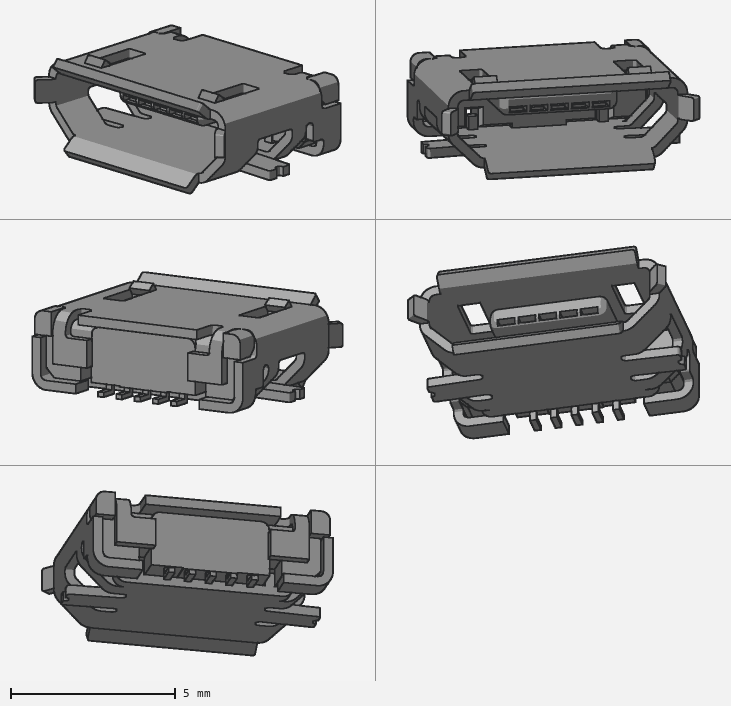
import cadquery as cq
import math


SHEET = 0.30
BEND_IN = 0.20
BEND_OUT = BEND_IN + SHEET
HALF_W = 3.75
HEIGHT = 2.45
DEPTH = 5.015
INNER_HALF_W = HALF_W - SHEET
INNER_TOP = HEIGHT - SHEET
BEVEL_ANGLE = math.radians(45)
BEVEL = 0.923
FRONT_SECTION_END = 3.51

LIP_ANGLE = math.radians(40)
LIP_LENGTH = 0.45
LIP_CORNER = 0.08
TOP_LIP_W = 6.20
BOTTOM_LIP_W = 2 * (HALF_W - BEVEL) - 2 * BEND_OUT * math.tan(BEVEL_ANGLE / 2)
SIDE_LIP_W = 0.74
SIDE_LIP_Z = 1.55

WINDOW_Y0 = 1.41
WINDOW_Y1 = 2.91
WINDOW_TOP = 1.30
WINDOW_CORNER = 0.10
WINDOW_INNER_X = 2.33
RELIEF_W = 0.30
RELIEF_INNER_X = 2.17
FOOT_END_X = 3.955
FOOT_DROP = 0.03
FOOT_CORNER = 0.08
FOOT_NOTCH_R = 0.14

LATCH_X0 = 2.06
LATCH_X1 = 2.767
LATCH_HINGE_Y = 0.549
LATCH_OPENING_Y0 = 0.80
LATCH_OPENING_Y1 = 2.50
LATCH_CORNER = 0.08
LATCH_ANGLE = math.radians(54)
LATCH_LENGTH = 0.28

WALL_SLOT_W = 0.30
WALL_SLOT_Y1 = FRONT_SECTION_END + WALL_SLOT_W
CUT_CLEAR_Z = 0.33
FLOOR_END_Y = 3.91
FLOOR_REAR_HALF_W = 2.78
FLAP_Y0 = 4.27
FLAP_INNER_X = 2.20
WALL_NOTCH_TOP = 0.65
WALL_NOTCH_CORNER = 0.10
WALL_NOTCH_STEP_ROUND = 0.08
ROOF_SLOT_X0 = 2.115
ROOF_SLOT_X1 = 2.563
ROOF_SLOT_Y0 = 4.11
ROOF_SLOT_CORNER = 0.18
EAR_CUT_X0 = 3.01
EAR_CUT_Y0 = 4.19
EAR_CUT_Z0 = 1.61
EAR_CUT_CORNER = 0.15

TAB_BEND_OUT = 0.615
TAB_BOTTOM = 0.84
ARM_TOP = 1.70
ARM_INNER_X = 1.80
ARM_CORNER = 0.12

FINGER_X0 = 1.90
FINGER_X1 = 2.19
FINGER_TOP = 0.72

BODY_Y0 = FRONT_SECTION_END
BODY_Y1 = 4.67
BODY_BOTTOM = CUT_CLEAR_Z
BODY_BEVEL = 0.28
BODY_TOP_ROUND = 0.54
LEAD_IN_SIDE = 0.12
LEAD_IN_DEPTH = 0.26
PAD_HALF_W = 0.85
PAD_TOP = 0.60
KEY_X0 = 2.62
KEY_X1 = 2.95
KEY_TOP = 2.12
KEY_H = 0.20
FINGER_HOLE_X = 2.04
FINGER_HOLE_W = 0.38
FINGER_HOLE_TOP = 0.92
FUNNEL = 0.10
EAR_X0 = 3.06
EAR_X1 = 3.66
EAR_Z0 = 1.69
EAR_ROUND = 0.28
EAR_CHAMFER = 0.24
EAR_FRONT_CHAMFER = 0.10

TONGUE_HALF_W = 1.84
TONGUE_Z0 = 1.30
TONGUE_Z1 = 2.07
TONGUE_Y0 = 1.0
TONGUE_ROUND = 0.26
TONGUE_TIP_ROUND = 0.24
CONTACTS = 5
PITCH = 0.65
GROOVE_W = 0.54
GROOVE_Z0 = 1.41
GROOVE_Z1 = 1.60
GROOVE_DEPTH = 0.60
CONTACT_W = 0.40
CONTACT_T = 0.09
CONTACT_SETBACK = 0.20
TAIL_W = 0.20
TAIL_T = 0.15
TAIL_Y0 = 4.40
TAIL_Y1 = 5.022

PAST = 1.0
SELECT_MARGIN = 0.01
ROUND_END = 0.49


def box(x0, x1, y0, y1, z0, z1):
    return cq.Workplane("XY").box(x1 - x0, y1 - y0, z1 - z0, centered=False).translate((x0, y0, z0))


def prism_along_y(points, y0, y1):
    return cq.Workplane("XZ", origin=(0, y0, 0)).polyline(points).close().extrude(y0 - y1)


def prism_along_x(points, x0, x1):
    return cq.Workplane("YZ", origin=(x0, 0, 0)).polyline(points).close().extrude(x1 - x0)


def both_sides(solid):
    return solid.union(solid.mirror("YZ"))


def beveled_outline(half_w, bottom, top, bevel):
    return [
        (-half_w, top),
        (half_w, top),
        (half_w, bottom + bevel),
        (half_w - bevel, bottom),
        (bevel - half_w, bottom),
        (-half_w, bottom + bevel),
    ]


def inset_bevel(bevel, inset):
    return bevel - inset * (2 - math.sqrt(2))


def shell_tube():
    outer = beveled_outline(HALF_W, 0, HEIGHT, BEVEL)
    inner = beveled_outline(INNER_HALF_W, SHEET, INNER_TOP, inset_bevel(BEVEL, SHEET))
    front = prism_along_y(outer, 0, FRONT_SECTION_END)
    front_hole = prism_along_y(inner, 0, FRONT_SECTION_END)
    rear = box(-HALF_W, HALF_W, FRONT_SECTION_END, DEPTH, 0, HEIGHT)
    rear_hole = box(-INNER_HALF_W, INNER_HALF_W, FRONT_SECTION_END, DEPTH, SHEET, INNER_TOP)
    front = front.edges("|Y").fillet(BEND_OUT).cut(front_hole.edges("|Y").fillet(BEND_IN))
    rear = rear.edges("|Y").fillet(BEND_OUT).cut(rear_hole.edges("|Y").fillet(BEND_IN))
    return front.union(rear)


def lip(pivot, outward, width):
    u_dir = cq.Vector(*outward)
    v_dir = cq.Vector(0, -1, 0)
    sin_a = math.sin(LIP_ANGLE)
    cos_a = math.cos(LIP_ANGLE)
    half_a = LIP_ANGLE / 2
    bend_end = (-SHEET * cos_a, SHEET * sin_a)
    tip = (LIP_LENGTH * sin_a, LIP_LENGTH * cos_a)
    profile = (
        cq.Workplane(cq.Plane(pivot, u_dir, u_dir.cross(v_dir)))
        .lineTo(-SHEET, 0)
        .threePointArc((-SHEET * math.cos(half_a), SHEET * math.sin(half_a)), bend_end)
        .lineTo(bend_end[0] + tip[0], bend_end[1] + tip[1])
        .lineTo(*tip)
        .close()
    )
    through_sheet = u_dir * -cos_a + v_dir * sin_a
    tip_corners = cq.selectors.ParallelDirSelector(through_sheet)
    return profile.extrude(width / 2, both=True).edges(tip_corners).fillet(LIP_CORNER)


def mouth_lips():
    top = lip((0, 0, HEIGHT), (0, 0, 1), TOP_LIP_W)
    bottom = lip((0, 0, 0), (0, 0, -1), BOTTOM_LIP_W)
    side = lip((HALF_W, 0, SIDE_LIP_Z), (1, 0, 0), SIDE_LIP_W)
    return both_sides(side).union(top).union(bottom)


def window_cutter():
    window = box(WINDOW_INNER_X, HALF_W + PAST, WINDOW_Y0, WINDOW_Y1, -PAST, WINDOW_TOP)
    cutter = window.edges("|X and >Z").fillet(WINDOW_CORNER)
    for y0 in (WINDOW_Y0, WINDOW_Y1 - RELIEF_W):
        relief = box(RELIEF_INNER_X, HALF_W, y0, y0 + RELIEF_W, -PAST, SHEET)
        cutter = cutter.union(relief.edges("|Z and <X").fillet(ROUND_END * RELIEF_W))
    return both_sides(cutter)


def solder_foot():
    points = [
        (RELIEF_INNER_X, 0),
        (WINDOW_INNER_X, 0),
        (FOOT_END_X, -FOOT_DROP),
        (FOOT_END_X, SHEET - FOOT_DROP),
        (WINDOW_INNER_X, SHEET),
        (RELIEF_INNER_X, SHEET),
    ]
    foot = prism_along_y(points, WINDOW_Y0 + RELIEF_W, WINDOW_Y1 - RELIEF_W)
    foot = foot.edges("|Z and >X").fillet(FOOT_CORNER)
    middle_y = (WINDOW_Y0 + WINDOW_Y1) / 2
    notch = cq.Workplane("XY").center(FOOT_END_X, middle_y).circle(FOOT_NOTCH_R).extrude(PAST, both=True)
    return both_sides(foot.cut(notch))


def latch_cutter():
    opening = box(LATCH_X0, LATCH_X1, LATCH_OPENING_Y0, LATCH_OPENING_Y1, INNER_TOP, HEIGHT)
    return both_sides(opening.edges("|Z and >Y").fillet(LATCH_CORNER))


def latch_stub():
    rise = (LATCH_LENGTH * math.cos(LATCH_ANGLE), LATCH_LENGTH * math.sin(LATCH_ANGLE))
    back = (SHEET * math.sin(LATCH_ANGLE), -SHEET * math.cos(LATCH_ANGLE))
    points = [
        (LATCH_HINGE_Y, HEIGHT),
        (LATCH_HINGE_Y + rise[0], HEIGHT + rise[1]),
        (LATCH_HINGE_Y + rise[0] + back[0], HEIGHT + rise[1] + back[1]),
        (LATCH_HINGE_Y + back[0], HEIGHT + back[1]),
    ]
    return both_sides(prism_along_x(points, LATCH_X0, LATCH_X1))


def rear_cutter():
    outer_x = HALF_W + PAST
    end_y = DEPTH + PAST
    inner_x = INNER_HALF_W - BEND_OUT
    slot = box(inner_x, outer_x, FRONT_SECTION_END, WALL_SLOT_Y1, CUT_CLEAR_Z, WINDOW_TOP)
    slot = slot.edges("|X and >Z").fillet(ROUND_END * WALL_SLOT_W)
    notch = box(inner_x, outer_x, FRONT_SECTION_END, FLAP_Y0, CUT_CLEAR_Z, WALL_NOTCH_TOP)
    notch = notch.edges("|X and >Z and >Y").fillet(WALL_NOTCH_CORNER)
    step_edge = cq.selectors.BoxSelector(
        (inner_x, WALL_SLOT_Y1 - SELECT_MARGIN, WALL_NOTCH_TOP - SELECT_MARGIN),
        (outer_x, WALL_SLOT_Y1 + SELECT_MARGIN, WALL_NOTCH_TOP + SELECT_MARGIN),
    )
    wall_cut = slot.union(notch).edges(step_edge).fillet(WALL_NOTCH_STEP_ROUND)
    round_x = FLOOR_REAR_HALF_W - CUT_CLEAR_Z
    floor_trim = box(round_x, outer_x, FRONT_SECTION_END, FLOOR_END_Y, -PAST, CUT_CLEAR_Z)
    floor_edge = (
        cq.Workplane("XZ", origin=(round_x, FRONT_SECTION_END, CUT_CLEAR_Z))
        .circle(CUT_CLEAR_Z)
        .extrude(FRONT_SECTION_END - FLOOR_END_Y)
    )
    floor_trim = floor_trim.cut(floor_edge)
    floor_gap = box(0, outer_x, FLOOR_END_Y, FLAP_Y0, -PAST, CUT_CLEAR_Z)
    flap_gap = box(0, FLAP_INNER_X, FLOOR_END_Y, end_y, -PAST, CUT_CLEAR_Z)
    roof_slot = box(ROOF_SLOT_X0, ROOF_SLOT_X1, ROOF_SLOT_Y0, end_y, INNER_TOP, HEIGHT + PAST)
    roof_slot = roof_slot.edges("|Z and <Y").fillet(ROOF_SLOT_CORNER)
    ear_cut = box(EAR_CUT_X0, outer_x, EAR_CUT_Y0, end_y, EAR_CUT_Z0, HEIGHT + PAST)
    ear_cut = ear_cut.edges("(|X and <Y and <Z) or (|Z and <X and <Y)").fillet(EAR_CUT_CORNER)
    tab_room = box(ROOF_SLOT_X1, EAR_CUT_X0, DEPTH - TAB_BEND_OUT, end_y, INNER_TOP, HEIGHT + PAST)
    cutter = wall_cut.union(floor_trim).union(floor_gap).union(flap_gap)
    return both_sides(cutter.union(roof_slot).union(ear_cut).union(tab_room))


def rear_tab():
    start_y = DEPTH - TAB_BEND_OUT
    inner_y = DEPTH - SHEET
    bend_z = HEIGHT - TAB_BEND_OUT
    half = math.sqrt(0.5)
    outer_mid = TAB_BEND_OUT * half
    inner_mid = (TAB_BEND_OUT - SHEET) * half
    tab = (
        cq.Workplane("YZ", origin=(ROOF_SLOT_X1, 0, 0))
        .moveTo(start_y, HEIGHT)
        .threePointArc((start_y + outer_mid, bend_z + outer_mid), (DEPTH, bend_z))
        .lineTo(DEPTH, TAB_BOTTOM)
        .lineTo(inner_y, TAB_BOTTOM)
        .lineTo(inner_y, bend_z)
        .threePointArc((start_y + inner_mid, bend_z + inner_mid), (start_y, INNER_TOP))
        .close()
        .extrude(EAR_CUT_X0 - ROOF_SLOT_X1)
    )
    arm = box(ARM_INNER_X, ROOF_SLOT_X1, inner_y, DEPTH, TAB_BOTTOM, ARM_TOP)
    web = box(ROOF_SLOT_X1 - ARM_CORNER, ROOF_SLOT_X1, inner_y, DEPTH, ARM_TOP, ARM_TOP + ARM_CORNER)
    web_round = (
        cq.Workplane("XZ", origin=(ROOF_SLOT_X1 - ARM_CORNER, inner_y, ARM_TOP + ARM_CORNER))
        .circle(ARM_CORNER)
        .extrude(-SHEET)
    )
    return both_sides(tab.union(arm).union(web.cut(web_round)))


def floor_finger():
    return both_sides(box(FINGER_X0, FINGER_X1, FLOOR_END_Y - SHEET, FLOOR_END_Y, SHEET, FINGER_TOP))


def shell():
    metal = shell_tube().cut(window_cutter()).cut(latch_cutter()).cut(rear_cutter())
    for piece in (mouth_lips(), solder_foot(), latch_stub(), rear_tab(), floor_finger()):
        metal = metal.union(piece)
    return metal


def body():
    full = beveled_outline(INNER_HALF_W, BODY_BOTTOM, INNER_TOP, BODY_BEVEL)
    reduced = beveled_outline(
        INNER_HALF_W - LEAD_IN_SIDE,
        BODY_BOTTOM + LEAD_IN_SIDE,
        INNER_TOP - LEAD_IN_SIDE,
        inset_bevel(BODY_BEVEL, LEAD_IN_SIDE),
    )
    nose = (
        cq.Workplane("XZ", origin=(0, BODY_Y0, 0))
        .polyline(reduced)
        .close()
        .workplane(offset=-LEAD_IN_DEPTH)
        .polyline(full)
        .close()
        .loft(ruled=True)
    )
    block = prism_along_y(full, BODY_Y0 + LEAD_IN_DEPTH, BODY_Y1)
    block = block.edges("|X and >Z and >Y").fillet(BODY_TOP_ROUND)
    pad = box(-PAD_HALF_W, PAD_HALF_W, BODY_Y0, BODY_Y1, SHEET, PAD_TOP)
    key = box(KEY_X0, KEY_X1, BODY_Y0, BODY_Y0 + LEAD_IN_DEPTH, KEY_TOP - KEY_H, KEY_TOP)
    return block.union(nose).union(pad).union(both_sides(key))


def finger_hole():
    half_w = FINGER_HOLE_W / 2
    bottom = SHEET
    hole = box(FINGER_HOLE_X - half_w, FINGER_HOLE_X + half_w, BODY_Y0, BODY_Y1, bottom, FINGER_HOLE_TOP)
    height = FINGER_HOLE_TOP - bottom
    middle_z = bottom + height / 2
    funnel = (
        cq.Workplane("XZ", origin=(FINGER_HOLE_X, BODY_Y0, middle_z))
        .rect(FINGER_HOLE_W + 2 * FUNNEL, height + 2 * FUNNEL)
        .workplane(offset=-LEAD_IN_DEPTH)
        .rect(FINGER_HOLE_W, height)
        .loft()
    )
    above_floor = box(0, HALF_W, BODY_Y0, BODY_Y1, SHEET, HEIGHT)
    return both_sides(hole.union(funnel.intersect(above_floor)))


def ears():
    ear = box(EAR_X0, EAR_X1, EAR_CUT_Y0, DEPTH, EAR_Z0, HEIGHT)
    ear = ear.edges("|X and <Y and <Z").chamfer(EAR_CHAMFER)
    ear = ear.edges("|Z and <X and <Y").chamfer(EAR_FRONT_CHAMFER)
    ear = ear.edges("|Y and >X and >Z").fillet(EAR_ROUND)
    return both_sides(ear)


def contact_positions():
    return [(i - (CONTACTS - 1) / 2) * PITCH for i in range(CONTACTS)]


def tongue():
    blade = box(-TONGUE_HALF_W, TONGUE_HALF_W, TONGUE_Y0, BODY_Y1, TONGUE_Z0, TONGUE_Z1)
    blade = blade.edges("|Y").fillet(TONGUE_ROUND).faces("<Y").edges().fillet(TONGUE_TIP_ROUND)
    for x in contact_positions():
        half_w = GROOVE_W / 2
        groove_end = TONGUE_Y0 + GROOVE_DEPTH
        blade = blade.cut(box(x - half_w, x + half_w, TONGUE_Y0, groove_end, GROOVE_Z0, GROOVE_Z1))
    return blade


def contacts():
    parts = []
    for x in contact_positions():
        half_w = CONTACT_W / 2
        half_tail = TAIL_W / 2
        spring_y0 = TONGUE_Y0 + CONTACT_SETBACK
        spring = box(x - half_w, x + half_w, spring_y0, BODY_Y1, GROOVE_Z0, GROOVE_Z0 + CONTACT_T)
        post = box(x - half_tail, x + half_tail, TAIL_Y0, TAIL_Y0 + TAIL_T, 0, PAD_TOP)
        tail = box(x - half_tail, x + half_tail, TAIL_Y0, TAIL_Y1, 0, TAIL_T)
        parts.extend([spring, post.union(tail)])
    return parts


def insulator():
    plastic = body().cut(finger_hole()).union(ears()).union(tongue())
    for piece in contacts():
        plastic = plastic.union(piece)
    return plastic


result = shell().union(insulator())